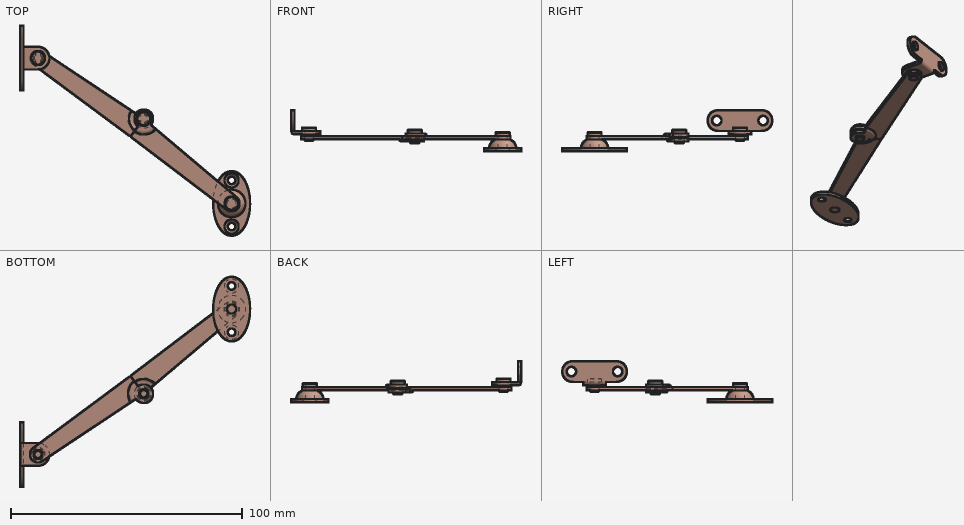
import cadquery as cq
import math

bracket_hinge = (7.7, 62.9)
base_hinge = (91.5, 0.0)
span_x = base_hinge[0] - bracket_hinge[0]
span_y = base_hinge[1] - bracket_hinge[1]
half_span = math.hypot(span_x, span_y) / 2
span_angle = math.degrees(math.atan2(span_y, span_x))
middle_rise = 6.5

sheet = 1.5
washer_thickness = 0.6
arm_bottom = 5.3
arm_top = arm_bottom + sheet
tab_bottom = arm_top + washer_thickness
tab_top = tab_bottom + sheet
overall_height = 17.9

arm_end_radius = 3.5
stop_depth = 3.2
stop_corner_radius = 0.7
eye_radius = 4.1
step = (sheet + washer_thickness) / 2
step_inner_radius = 5.3
step_outer_radius = 6.9
step_setback = 0.5
step_run = step_outer_radius - step_inner_radius
step_arc_radius = (step_run**2 + step**2) / (2 * step)

shaft_radius = 2.0
head_radius = 3.1
head_height = 1.6
head_chamfer = 0.3
tail_height = 0.7
tail_chamfer = 0.4
washer_radius = 3.0

plate_length = 28.1
screw_spacing = 20.0
bracket_screw_radius = 2.0
tab_radius = 5.0

base_width = 16.1
base_length = 28.1
base_screw_radius = 1.6
countersink_radius = 3.1
countersink_angle = 90.0
dome_foot_radius = 6.0
dome_waist = (5.6, 3.0)
dome_shoulder = (4.6, 4.4)
dome_top_radius = 3.3


def cylinder(center, radius, bottom, top):
    """Upright cylinder between two heights."""
    return cq.Workplane("XY", origin=(*center, bottom)).circle(radius).extrude(top - bottom)


def make_bracket():
    """Upright screw plate with a rounded tab, joined by a quarter-round bend."""
    hinge_x, hinge_y = bracket_hinge
    plate_height = overall_height - tab_top
    plate_middle = (0, hinge_y, tab_top + plate_height / 2)
    plate = (
        cq.Workplane("YZ", origin=plate_middle)
        .slot2D(plate_length, plate_height)
        .extrude(sheet)
    )
    tab = (
        cq.Workplane("XY", origin=(0, hinge_y, tab_bottom))
        .moveTo(sheet, -tab_radius)
        .lineTo(hinge_x, -tab_radius)
        .threePointArc((hinge_x + tab_radius, 0), (hinge_x, tab_radius))
        .lineTo(sheet, tab_radius)
        .close()
        .extrude(sheet)
    )
    bend_offset = sheet * math.sqrt(0.5)
    bend = (
        cq.Workplane("XZ", origin=(sheet, hinge_y, tab_top))
        .lineTo(-sheet, 0)
        .threePointArc((-bend_offset, -bend_offset), (0, -sheet))
        .close()
        .extrude(tab_radius, both=True)
    )
    screw_holes = (
        cq.Workplane("YZ", origin=plate_middle)
        .pushPoints([(-screw_spacing / 2, 0), (screw_spacing / 2, 0)])
        .circle(bracket_screw_radius)
        .extrude(sheet)
    )
    rivet_hole = cylinder(bracket_hinge, shaft_radius, tab_bottom, tab_top)
    return plate.union(bend).union(tab).cut(screw_holes).cut(rivet_hole)


def make_base():
    """Elliptical screw plate with a crowned dome under the hinge."""
    plate = (
        cq.Workplane("XY", origin=(*base_hinge, 0))
        .ellipse(base_width / 2, base_length / 2)
        .extrude(sheet)
        .faces(">Z")
        .workplane(origin=(*base_hinge, sheet))
        .pushPoints([(0, -screw_spacing / 2), (0, screw_spacing / 2)])
        .cskHole(2 * base_screw_radius, 2 * countersink_radius, countersink_angle)
    )
    dome = (
        cq.Workplane("XZ", origin=(*base_hinge, 0))
        .moveTo(0, sheet)
        .lineTo(dome_foot_radius, sheet)
        .threePointArc(dome_waist, dome_shoulder)
        .lineTo(dome_top_radius, arm_bottom)
        .lineTo(0, arm_bottom)
        .close()
        .revolve(360, (0, 0, 0), (0, 1, 0))
    )
    rivet_hole = cylinder(base_hinge, shaft_radius, 0, arm_bottom)
    return plate.union(dome).cut(rivet_hole)


def make_straight_arm():
    """Bracket-side arm along +X: outer hinge at the origin, eye stepped down at the middle hinge."""
    eye = (half_span, middle_rise)
    low = arm_bottom - step
    high = arm_top
    stop_corner = (half_span, -stop_depth, (low + high) / 2)
    blade = (
        cq.Workplane("XY", origin=(0, 0, low))
        .moveTo(0, arm_end_radius)
        .threePointArc((-arm_end_radius, 0), (0, -arm_end_radius))
        .lineTo(half_span, -stop_depth)
        .lineTo(*eye)
        .close()
        .extrude(high - low)
        .edges(cq.NearestToPointSelector(stop_corner))
        .fillet(stop_corner_radius)
    )
    outline = blade.union(cylinder(eye, eye_radius, low, high))

    reach = half_span + middle_rise + arm_end_radius
    dished_sheet = (
        cq.Workplane("XZ", origin=(*eye, 0))
        .moveTo(0, low)
        .lineTo(step_inner_radius, low)
        .radiusArc((step_outer_radius, arm_bottom), -step_arc_radius)
        .lineTo(reach, arm_bottom)
        .lineTo(reach, arm_top)
        .lineTo(step_outer_radius - step_setback, arm_top)
        .radiusArc((step_inner_radius - step_setback, arm_top - step), step_arc_radius)
        .lineTo(0, arm_top - step)
        .close()
        .revolve(360, (0, 0, 0), (0, 1, 0))
    )
    arm = outline.intersect(dished_sheet)
    for hinge in [(0, 0), eye]:
        arm = arm.cut(cylinder(hinge, shaft_radius, low, high))
    return arm


def place_on_span(shape):
    """Turn a shape built along +X onto the line from the bracket hinge to the base hinge."""
    return shape.rotate((0, 0, 0), (0, 0, 1), span_angle).translate((*bracket_hinge, 0))


def make_bracket_arm():
    return place_on_span(make_straight_arm())


def make_base_arm():
    """The same arm turned over about the stop line, so that its eye steps up."""
    middle_height = (arm_bottom + arm_top) / 2
    turned = make_straight_arm().rotate(
        (half_span, 0, middle_height), (half_span, 1, middle_height), 180
    )
    return place_on_span(turned)


def make_rivet(center, shaft_bottom, head_bottom, end_chamfer):
    """Round-headed rivet; the shaft end is chamfered where it stands proud."""
    head_top = head_bottom + head_height
    head = cylinder(center, head_radius, head_bottom, head_top).faces(">Z").chamfer(head_chamfer)
    shaft = cylinder(center, shaft_radius, shaft_bottom, head_bottom)
    if end_chamfer > 0:
        shaft = shaft.faces("<Z").chamfer(end_chamfer)
    return head.union(shaft)


def make_washer(center, bottom):
    washer = cylinder(center, washer_radius, bottom, bottom + washer_thickness)
    return washer.cut(cylinder(center, shaft_radius, bottom, bottom + washer_thickness))


turn = math.radians(span_angle)
middle_hinge = (
    bracket_hinge[0] + half_span * math.cos(turn) - middle_rise * math.sin(turn),
    bracket_hinge[1] + half_span * math.sin(turn) + middle_rise * math.cos(turn),
)

bracket = make_bracket()
base = make_base()
bracket_arm = make_bracket_arm()
base_arm = make_base_arm()

rivet_places = [
    (bracket_hinge, arm_bottom - tail_height, tab_top, tail_chamfer),
    (middle_hinge, arm_bottom - step - tail_height, arm_top + step, tail_chamfer),
    (base_hinge, 0, arm_top, 0),
]
rivets = [make_rivet(*place) for place in rivet_places]

washer_places = [
    (bracket_hinge, arm_top),
    (middle_hinge, arm_top - step),
]
washers = [make_washer(*place) for place in washer_places]

bodies = [bracket, base, bracket_arm, base_arm, *rivets, *washers]
result = cq.Compound.makeCompound([body.solids().val() for body in bodies])